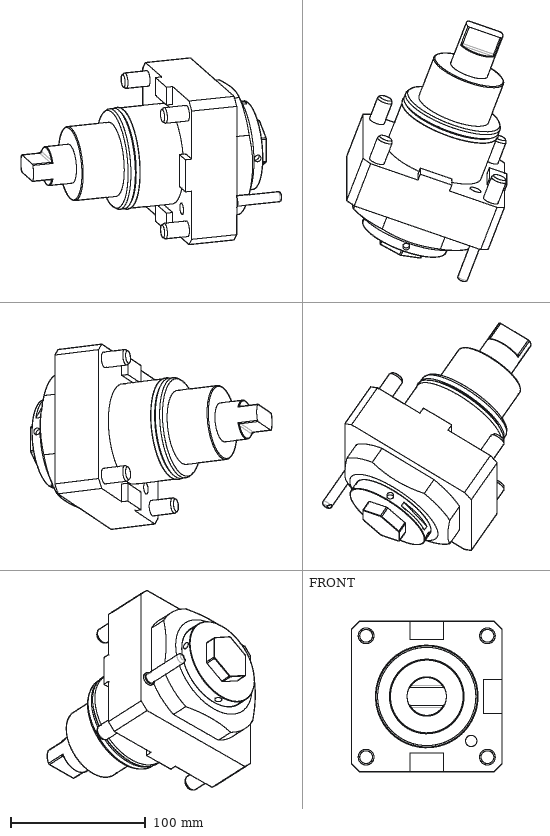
import cadquery as cq
import math


OVERALL_LENGTH = 182.3

PLATE_SIDE = 112.0
PLATE_THICKNESS = 35.4
PLATE_CORNER_CHAMFER = 6.0
TAB_WIDTH = 25.0
TAB_DEPTH = 13.9
TAB_HEIGHT = 5.0
COOLANT_HOLE_OFFSET = 33.0
COOLANT_HOLE_RADIUS = 4.2
COOLANT_HOLE_DEPTH = 18.2

SCREW_OFFSET = 45.0
SCREW_RADIUS = 5.8
SCREW_LENGTH = 19.1
SCREW_CHAMFER_RADIAL = 1.1
SCREW_CHAMFER_AXIAL = 1.8

SHANK_RADIUS = 37.5
SHANK_LENGTH = 43.2
SHANK_CHAMFER_RADIAL = 1.1
SHANK_CHAMFER_AXIAL = 1.8
NECK_RADIUS = 27.7
NECK_END = 76.2
NECK_CHAMFER = 0.7

SEAL_SECTION_RADIUS = 1.37
SEAL_PROTRUSION = 0.5
GROOVE_REAR = 34.1
GROOVE_WIDTH = 3.8
SEAL_CENTRE_RADIUS = SHANK_RADIUS + SEAL_PROTRUSION - SEAL_SECTION_RADIUS
GROOVE_FLOOR_RADIUS = SEAL_CENTRE_RADIUS - SEAL_SECTION_RADIUS

SHAFT_RADIUS = 14.5
SHAFT_END_CHAMFER = 0.5
TANG_START = 94.8
TANG_END = 110.0
TANG_THICKNESS = 13.5
TANG_ROOT_FILLET = 1.3
TANG_EDGE_CHAMFER = 0.7

CAP_RADIUS = 51.0
CAP_FLAT_DISTANCE = 45.5
CAP_CONE_START = 48.7
CAP_TOP_RADIUS = 39.0
CAP_TOP = 54.7

RING_RADIUS = 33.2
RING_TOP = 63.8
RING_CHAMFER = 0.4
SPANNER_HOLE_COUNT = 4
SPANNER_HOLE_RADIUS = 2.5
SPANNER_HOLE_DEPTH = 4.5
SPANNER_HOLE_TIP_ANGLE = 118.0
SPANNER_HOLE_CENTRE = 59.6
LABEL_FLAT_DISTANCE = 29.9
LABEL_WIDTH = 3.5
LABEL_CENTRE = 59.6
LABEL_ANGLE = 45.0

HEX_APOTHEM = 16.2
HEX_CORNER_RADIUS = 18.5
HEX_CHAMFER = 0.4
REAR_END = OVERALL_LENGTH - TANG_END

NOZZLE_X = 48.7
NOZZLE_Z = -26.3
NOZZLE_RADIUS = 3.8
NOZZLE_TIP_FILLET = 1.8
NOZZLE_COLLAR_RADIUS = 5.0
NOZZLE_COLLAR_HEIGHT = 1.6
JET_RADIUS = 1.6
JET_DEPTH = 3.6


def revolve_about_axis(profile):
    """Revolve a closed list of (radius, Y) points about the Y axis."""
    return cq.Workplane("XY").polyline(profile).close().revolve(360, (0, 0, 0), (0, 1, 0))


def bar_along_y(outline, start, end):
    """Extrude an outline drawn on a plane facing +Y with local axes Z and X."""
    return outline(cq.Workplane("ZX", origin=(0, start, 0))).extrude(end - start)


def round_bar(radius, start, end, x=0.0, z=0.0):
    """A cylinder parallel to the Y axis from Y = start to Y = end."""
    return bar_along_y(lambda plane: plane.center(z, x).circle(radius), start, end)


def make_plate():
    plate = bar_along_y(lambda plane: plane.rect(PLATE_SIDE, PLATE_SIDE), 0, PLATE_THICKNESS)
    plate = plate.edges("|Y").chamfer(PLATE_CORNER_CHAMFER)

    tab = cq.Workplane("XY").box(TAB_DEPTH, TAB_HEIGHT, TAB_WIDTH)
    tab = tab.translate(((PLATE_SIDE - TAB_DEPTH) / 2, -TAB_HEIGHT / 2, 0))
    for angle in (-90, 0, 90):
        plate = plate.union(tab.rotate((0, 0, 0), (0, 1, 0), angle))

    return plate.cut(
        round_bar(COOLANT_HOLE_RADIUS, 0, COOLANT_HOLE_DEPTH, COOLANT_HOLE_OFFSET, -COOLANT_HOLE_OFFSET)
    )


def make_screw_end(x, z):
    tip_radius = SCREW_RADIUS - SCREW_CHAMFER_RADIAL
    screw = revolve_about_axis([
        (0, 0),
        (SCREW_RADIUS, 0),
        (SCREW_RADIUS, SCREW_CHAMFER_AXIAL - SCREW_LENGTH),
        (tip_radius, -SCREW_LENGTH),
        (0, -SCREW_LENGTH),
    ])
    return screw.translate((x, 0, z))


def make_shank():
    groove_front = GROOVE_REAR + GROOVE_WIDTH
    return revolve_about_axis([
        (0, 0),
        (SHANK_RADIUS, 0),
        (SHANK_RADIUS, -GROOVE_REAR),
        (GROOVE_FLOOR_RADIUS, -GROOVE_REAR),
        (GROOVE_FLOOR_RADIUS, -groove_front),
        (SHANK_RADIUS, -groove_front),
        (SHANK_RADIUS, SHANK_CHAMFER_AXIAL - SHANK_LENGTH),
        (SHANK_RADIUS - SHANK_CHAMFER_RADIAL, -SHANK_LENGTH),
        (NECK_RADIUS, -SHANK_LENGTH),
        (NECK_RADIUS, NECK_CHAMFER - NECK_END),
        (NECK_RADIUS - NECK_CHAMFER, -NECK_END),
        (0, -NECK_END),
    ])


def make_drive_shaft():
    shoulder = round_bar(SHAFT_RADIUS, -TANG_START, -NECK_END).faces("<Y").chamfer(SHAFT_END_CHAMFER)

    full_round = round_bar(SHAFT_RADIUS, -TANG_END, -NECK_END)
    slab = cq.Workplane("XY").box(2 * SHAFT_RADIUS, TANG_END - NECK_END, TANG_THICKNESS)
    tang = full_round.intersect(slab.translate((0, -(TANG_END + NECK_END) / 2, 0)))
    tang = tang.faces("<Z or >Z").edges("|Y").chamfer(TANG_EDGE_CHAMFER)

    half_thickness = TANG_THICKNESS / 2
    middle = TANG_ROOT_FILLET * (1 - math.sqrt(0.5))
    half_flat = math.sqrt(SHAFT_RADIUS**2 - half_thickness**2)
    root = (
        cq.Workplane("YZ", origin=(-half_flat, 0, 0))
        .moveTo(-TANG_START, half_thickness)
        .lineTo(-TANG_START, half_thickness + TANG_ROOT_FILLET)
        .threePointArc(
            (-TANG_START - middle, half_thickness + middle),
            (-TANG_START - TANG_ROOT_FILLET, half_thickness),
        )
        .close()
        .extrude(2 * half_flat)
        .intersect(full_round)
    )
    return shoulder.union(tang).union(root).union(root.mirror("XY"))


def make_cap():
    cap = revolve_about_axis([
        (0, PLATE_THICKNESS),
        (CAP_RADIUS, PLATE_THICKNESS),
        (CAP_RADIUS, CAP_CONE_START),
        (CAP_TOP_RADIUS, CAP_TOP),
        (0, CAP_TOP),
    ])
    square_side = 2 * CAP_FLAT_DISTANCE
    square = bar_along_y(lambda plane: plane.rect(square_side, square_side), PLATE_THICKNESS, CAP_TOP)
    return cap.intersect(square)


def make_spanner_hole():
    """A drilled hole with a conical bottom, entering the ring from +Z."""
    tip_length = SPANNER_HOLE_RADIUS / math.tan(math.radians(SPANNER_HOLE_TIP_ANGLE / 2))
    floor = RING_RADIUS - SPANNER_HOLE_DEPTH
    drill = (
        cq.Workplane("XZ")
        .polyline([
            (0, RING_RADIUS),
            (SPANNER_HOLE_RADIUS, RING_RADIUS),
            (SPANNER_HOLE_RADIUS, floor),
            (0, floor - tip_length),
        ])
        .close()
        .revolve(360, (0, 0, 0), (0, 1, 0))
    )
    return drill.translate((0, SPANNER_HOLE_CENTRE, 0))


def make_clamping_ring():
    ring = round_bar(RING_RADIUS, CAP_TOP, RING_TOP).faces("<Y or >Y").chamfer(RING_CHAMFER)

    hole = make_spanner_hole()
    for index in range(SPANNER_HOLE_COUNT):
        ring = ring.cut(hole.rotate((0, 0, 0), (0, 1, 0), index * 360 / SPANNER_HOLE_COUNT))

    recess = cq.Workplane("XY").box(2 * RING_RADIUS, LABEL_WIDTH, RING_RADIUS)
    recess = recess.translate((0, LABEL_CENTRE, LABEL_FLAT_DISTANCE + RING_RADIUS / 2))
    return ring.cut(recess.rotate((0, 0, 0), (0, 1, 0), -LABEL_ANGLE))


def make_hexagon():
    corner_diameter = 2 * HEX_APOTHEM / math.cos(math.pi / 6)
    hexagon = bar_along_y(lambda plane: plane.polygon(6, corner_diameter), RING_TOP, REAR_END)
    hexagon = hexagon.intersect(round_bar(HEX_CORNER_RADIUS, RING_TOP, REAR_END))
    return hexagon.faces(">Y").chamfer(HEX_CHAMFER)


def make_nozzle():
    collar_top = PLATE_THICKNESS + NOZZLE_COLLAR_HEIGHT
    collar = round_bar(NOZZLE_COLLAR_RADIUS, PLATE_THICKNESS, collar_top, NOZZLE_X, NOZZLE_Z)
    tube = round_bar(NOZZLE_RADIUS, PLATE_THICKNESS, REAR_END, NOZZLE_X, NOZZLE_Z)
    tube = tube.faces(">Y").edges().fillet(NOZZLE_TIP_FILLET)

    distance = math.hypot(NOZZLE_X, NOZZLE_Z)
    toward_axis_x = -NOZZLE_X / distance
    toward_axis_z = -NOZZLE_Z / distance
    mouth = cq.Vector(
        NOZZLE_X + NOZZLE_RADIUS * toward_axis_x,
        REAR_END,
        NOZZLE_Z + NOZZLE_RADIUS * toward_axis_z,
    )
    inward = cq.Vector(-toward_axis_x, -1, -toward_axis_z)
    jet = cq.Workplane(cq.Solid.makeCylinder(JET_RADIUS, JET_DEPTH, mouth, inward))
    return collar.union(tube).cut(jet)


def make_holder():
    holder = make_plate().union(make_shank()).union(make_drive_shaft())
    for x in (-SCREW_OFFSET, SCREW_OFFSET):
        for z in (-SCREW_OFFSET, SCREW_OFFSET):
            holder = holder.union(make_screw_end(x, z))
    return holder.union(make_cap()).union(make_clamping_ring()).union(make_hexagon()).union(make_nozzle())


def make_seal_ring():
    return (
        cq.Workplane("XY")
        .center(SEAL_CENTRE_RADIUS, -GROOVE_REAR - SEAL_SECTION_RADIUS)
        .circle(SEAL_SECTION_RADIUS)
        .revolve(360, (-SEAL_CENTRE_RADIUS, 0, 0), (-SEAL_CENTRE_RADIUS, 1, 0))
    )


holder = make_holder()
seal_ring = make_seal_ring()
result = cq.Compound.makeCompound([holder.val(), seal_ring.val()])